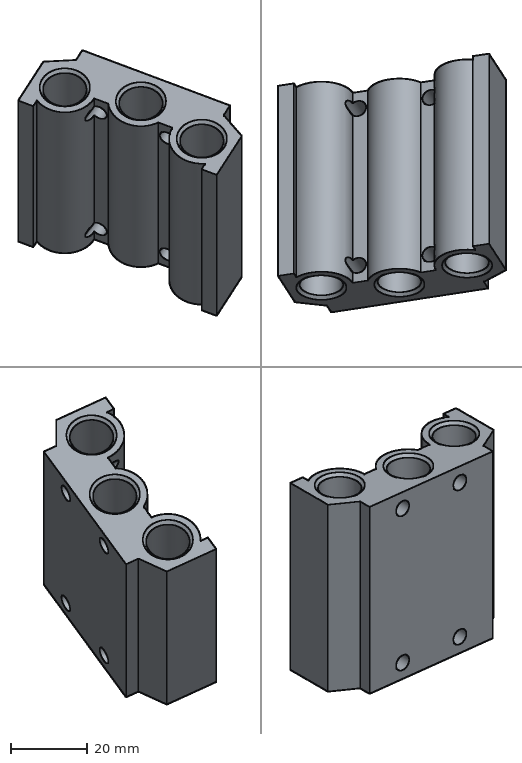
import cadquery as cq
import math

width = 58.0
depth = 23.0
height = 57.0

bore_diameter = 11.4
bore_chamfer = 0.85
bore_spacing = 20.0
side_bore_y = 9.45
middle_bore_y = side_bore_y + 4.5
lobe_radius = 8.6

foot_width = 4.4
back_width = 43.15
shoulder_y = depth - 3.75
bevel_angle = 30.0
web_y = side_bore_y

cross_hole_diameter = 4.5
cross_hole_x = bore_spacing / 2
cross_hole_inset = 5.0

bore_centers = [
    (-bore_spacing, side_bore_y),
    (0, middle_bore_y),
    (bore_spacing, side_bore_y),
]


def make_body():
    """Extrude the symmetric profile, with arcs for the three lobes."""
    half_width = width / 2
    half_back = back_width / 2
    foot_x = half_width - foot_width
    bevel_y = shoulder_y - (half_width - half_back) * math.tan(math.radians(bevel_angle))

    foot_offset = foot_x - bore_spacing
    lobe_foot_y = side_bore_y - math.sqrt(lobe_radius**2 - foot_offset**2)
    side_lobe_front = side_bore_y - lobe_radius
    side_lobe_x = bore_spacing - lobe_radius

    middle_lobe_front = middle_bore_y - lobe_radius
    middle_lobe_x = math.sqrt(lobe_radius**2 - (middle_bore_y - web_y) ** 2)

    return (
        cq.Workplane("XY")
        .moveTo(-half_back, depth)
        .lineTo(half_back, depth)
        .lineTo(half_back, shoulder_y)
        .lineTo(half_width, bevel_y)
        .lineTo(half_width, 0)
        .lineTo(foot_x, 0)
        .lineTo(foot_x, lobe_foot_y)
        .threePointArc((bore_spacing, side_lobe_front), (side_lobe_x, web_y))
        .lineTo(middle_lobe_x, web_y)
        .threePointArc((0, middle_lobe_front), (-middle_lobe_x, web_y))
        .lineTo(-side_lobe_x, web_y)
        .threePointArc((-bore_spacing, side_lobe_front), (-foot_x, lobe_foot_y))
        .lineTo(-foot_x, 0)
        .lineTo(-half_width, 0)
        .lineTo(-half_width, bevel_y)
        .lineTo(-half_back, shoulder_y)
        .close()
        .extrude(height)
    )


def make_bores():
    """Through bores, widened by a chamfer at both ends."""
    bore_radius = bore_diameter / 2
    mouth_radius = bore_radius + bore_chamfer
    bore = (
        cq.Workplane("XZ")
        .polyline([
            (0, 0),
            (mouth_radius, 0),
            (bore_radius, bore_chamfer),
            (bore_radius, height - bore_chamfer),
            (mouth_radius, height),
            (0, height),
        ])
        .close()
        .revolve(360, (0, 0, 0), (0, 1, 0))
    )
    bores = cq.Workplane("XY")
    for x, y in bore_centers:
        bores = bores.add(bore.translate((x, y, 0)))
    return bores.combine()


def make_cross_holes():
    """Four holes along Y, clipping the flanks of the side lobes."""
    centers = [
        (x, z)
        for x in (-cross_hole_x, cross_hole_x)
        for z in (cross_hole_inset, height - cross_hole_inset)
    ]
    return (
        cq.Workplane("XZ")
        .pushPoints(centers)
        .circle(cross_hole_diameter / 2)
        .extrude(-depth)
    )


result = make_body().cut(make_bores()).cut(make_cross_holes())